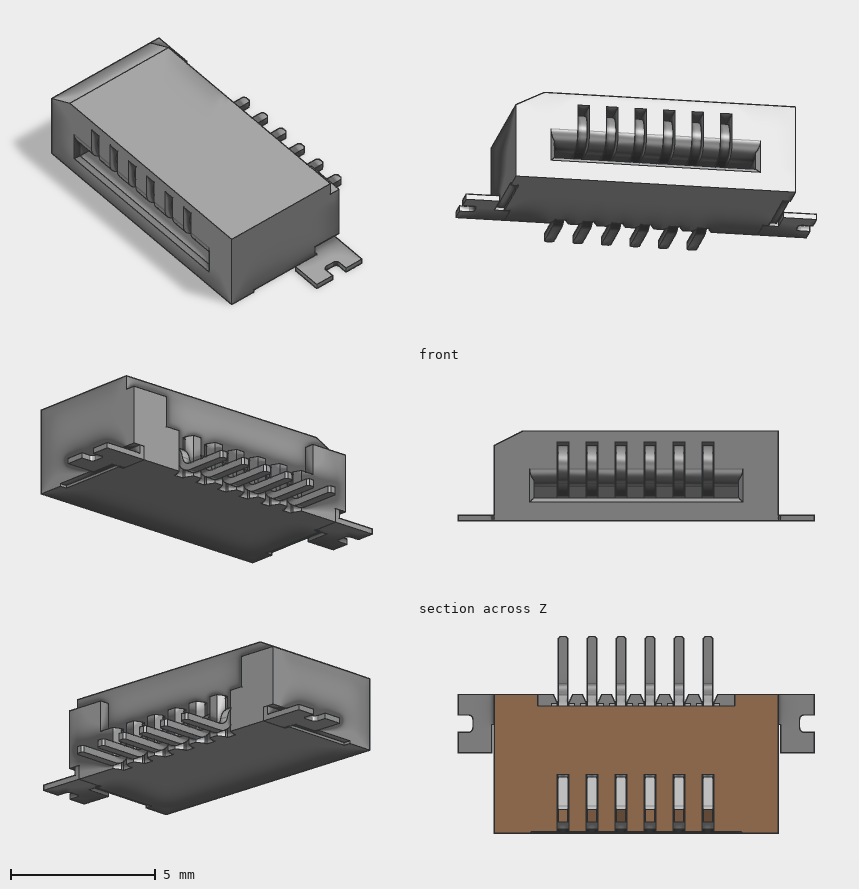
import cadquery as cq
import math


body_width = 9.82
body_height = 3.11
body_depth = 4.8
upper_depth = 4.4
side_ledge_height = 2.61
middle_ledge_height = 1.5
middle_ledge_width = 6.79
corner_cut_width = 1.0

slot_width = 7.06
slot_depth = 2.0
slot_floor = 0.8
slot_height = 0.4
mouth_bevel = 0.15
lip_radius = 0.59

contact_count = 6
contact_row_width = 5.0
contact_row_offset = -0.02
contact_width = 0.33
strip_thickness = 0.25
bend_radius = 0.52
tail_tip = 6.8
tail_bend_start = 5.17
run_height = 0.98
beam_angle = 22.0
nose_exit_angle = 19.0
blend_radius = 3.69
nose_front = 0.25
nose_height = 1.95
curl_end = 1.23
tail_tip_bevel = 0.07

cell_width = 0.4
cell_top = 2.72
cell_top_depth = 1.6
cell_back_angle = 20.0

notch_start = 4.5
notch_narrow_width = 0.39
notch_wide_width = 0.66
lead_in_width = 0.8
lead_in_end = 4.49

overall_width = 12.3
tab_thickness = 0.2
tab_front = 2.78
tab_gap = 0.07
tab_neck_front = 3.75
leg_front = 3.79
leg_height = 0.5
tab_cutout_depth = 0.5
tab_cutout_front = 3.49
tab_cutout_width = 0.59
tab_cutout_radius = 0.15

pocket_front = 3.71
pocket_depth = 0.27
relief_front = 1.0
relief_height = 0.1

half_body = body_width / 2
contact_pitch = contact_row_width / (contact_count - 1)
contact_positions = [
    contact_row_offset - contact_row_width / 2 + i * contact_pitch for i in range(contact_count)
]


def block(x_limits, y_limits, z_limits):
    """Box between the given limits along each axis."""
    size = [high - low for low, high in (x_limits, y_limits, z_limits)]
    corner = (x_limits[0], y_limits[0], z_limits[0])
    return cq.Workplane("XY").box(*size, centered=False).translate(corner)


def side_profile(half_width):
    """Sketch plane for a y-z outline that is extruded from -half_width to +half_width."""
    return cq.Workplane("YZ", origin=(-half_width, 0, 0))


def housing_block():
    """Bevelled block with a stepped rear edge."""
    front_outline = (
        cq.Workplane("XZ")
        .moveTo(-half_body, 0)
        .lineTo(half_body, 0)
        .lineTo(half_body, body_height)
        .lineTo(-half_body + corner_cut_width, body_height)
        .lineTo(-half_body, side_ledge_height)
        .close()
    )
    body = front_outline.extrude(-body_depth)
    ledge = (upper_depth, body_depth)
    half_ledge = middle_ledge_width / 2
    body = body.cut(block((-half_body, half_body), ledge, (side_ledge_height, body_height)))
    return body.cut(block((-half_ledge, half_ledge), ledge, (middle_ledge_height, body_height)))


def card_slot():
    """Slot for the cable, with bevelled floor and ends and a rounded upper lip."""
    half_slot = slot_width / 2
    half_mouth = half_slot + mouth_bevel
    ceiling = slot_floor + slot_height
    lip_slant = lip_radius * math.sqrt(0.5)
    section = (
        side_profile(half_mouth)
        .moveTo(0, slot_floor - mouth_bevel)
        .lineTo(mouth_bevel, slot_floor)
        .lineTo(slot_depth, slot_floor)
        .lineTo(slot_depth, ceiling)
        .lineTo(lip_radius, ceiling)
        .threePointArc(
            (lip_radius - lip_slant, ceiling + lip_radius - lip_slant),
            (0, ceiling + lip_radius),
        )
        .close()
        .extrude(2 * half_mouth)
    )
    plan = (
        cq.Workplane("XY")
        .moveTo(-half_mouth, 0)
        .lineTo(half_mouth, 0)
        .lineTo(half_slot, mouth_bevel)
        .lineTo(half_slot, slot_depth)
        .lineTo(-half_slot, slot_depth)
        .lineTo(-half_slot, mouth_bevel)
        .close()
        .extrude(body_height)
    )
    return section.intersect(plan)


def contact_cell():
    """Narrow chamber that gives one spring contact room to move."""
    lean = (cell_top - run_height) * math.tan(math.radians(cell_back_angle))
    return (
        side_profile(cell_width / 2)
        .moveTo(0, slot_floor)
        .lineTo(cell_top_depth + lean, slot_floor)
        .lineTo(cell_top_depth + lean, run_height)
        .lineTo(cell_top_depth, cell_top)
        .lineTo(0, cell_top)
        .close()
        .extrude(cell_width)
    )


def rear_notch():
    """Flared notch through the rear ledge, with a sloped lead-in at its narrow end."""
    narrow = notch_narrow_width / 2
    wide = notch_wide_width / 2
    flare = (
        cq.Workplane("XY")
        .moveTo(-narrow, upper_depth)
        .lineTo(narrow, upper_depth)
        .lineTo(narrow, notch_start)
        .lineTo(wide, body_depth)
        .lineTo(-wide, body_depth)
        .lineTo(-narrow, notch_start)
        .close()
        .extrude(middle_ledge_height)
    )
    lead_in = (
        side_profile(lead_in_width / 2)
        .moveTo(upper_depth, middle_ledge_height)
        .lineTo(lead_in_end, middle_ledge_height)
        .lineTo(lead_in_end, middle_ledge_height - (lead_in_end - upper_depth))
        .close()
        .extrude(lead_in_width)
    )
    return flare.union(lead_in)


def side_undercuts():
    """Tab pocket and shallow relief below the left side of the housing."""
    leg_outside = -half_body + pocket_depth
    leg_inside = leg_outside + tab_thickness
    pocket = block((-half_body, leg_inside), (pocket_front, body_depth), (0, leg_height))
    relief = block((-half_body, leg_outside), (relief_front, pocket_front), (0, relief_height))
    return pocket.union(relief)


def left_solder_tab():
    """Flat pad with an open cutout and an upright leg held in the housing pocket."""
    pad_outside = -overall_width / 2
    pad_inside = -half_body - tab_gap
    leg_outside = -half_body + pocket_depth
    leg_inside = leg_outside + tab_thickness
    flat = (0, tab_thickness)
    pad = block((pad_outside, pad_inside), (tab_front, body_depth), flat)
    neck = block((pad_inside, leg_outside), (tab_neck_front, body_depth), flat)
    leg = block((leg_outside, leg_inside), (leg_front, body_depth), (0, leg_height))
    cutout = block(
        (pad_outside, pad_outside + tab_cutout_depth),
        (tab_cutout_front, tab_cutout_front + tab_cutout_width),
        flat,
    )
    cutout = cutout.edges("|Z and >X").fillet(tab_cutout_radius)
    return pad.union(neck).union(leg).cut(cutout)


def contact():
    """Bent strip: solder tail, step up, run, spring beam and curled nose."""
    tail_height = strip_thickness / 2
    step_rise = run_height - tail_height
    step_angle = math.acos(1 - step_rise / (2 * bend_radius))
    step_length = 2 * bend_radius * math.sin(step_angle)
    step_end = tail_bend_start - step_length
    step_middle = (tail_bend_start - step_length / 2, (tail_height + run_height) / 2)

    beam_slope = math.radians(beam_angle)
    exit_slope = math.radians(nose_exit_angle)
    nose_centre = nose_front + strip_thickness / 2 + bend_radius
    curl_start = (
        nose_centre - bend_radius * math.sin(exit_slope),
        nose_height - bend_radius * math.cos(exit_slope),
    )
    beam_front = (
        curl_start[0] + blend_radius * (math.sin(beam_slope) - math.sin(exit_slope)),
        curl_start[1] + blend_radius * (math.cos(beam_slope) - math.cos(exit_slope)),
    )
    beam_back = beam_front[0] + (beam_front[1] - run_height) / math.tan(beam_slope)
    curl_top = nose_height + bend_radius

    centreline = (
        cq.Workplane("YZ")
        .moveTo(tail_tip, tail_height)
        .lineTo(tail_bend_start, tail_height)
        .tangentArcPoint(step_middle, relative=False)
        .tangentArcPoint((step_end, run_height), relative=False)
        .lineTo(beam_back, run_height)
        .lineTo(*beam_front)
        .tangentArcPoint(curl_start, relative=False)
        .threePointArc((nose_centre - bend_radius, nose_height), (nose_centre, curl_top))
        .lineTo(curl_end, curl_top)
    )
    strip = (
        cq.Workplane("XZ", origin=(0, tail_tip, tail_height))
        .rect(contact_width, strip_thickness)
        .sweep(centreline, transition="right")
    )
    return strip.faces(">Y").edges("|Z").chamfer(tail_tip_bevel)


contacts = [contact().translate((x, 0, 0)) for x in contact_positions]

left_tab = left_solder_tab()
tabs = [left_tab, left_tab.mirror("YZ")]

housing = housing_block().cut(card_slot())
undercuts = side_undercuts()
housing = housing.cut(undercuts).cut(undercuts.mirror("YZ"))
for x, placed_contact in zip(contact_positions, contacts):
    housing = housing.cut(contact_cell().translate((x, 0, 0)))
    housing = housing.cut(rear_notch().translate((x, 0, 0)))
    housing = housing.cut(placed_contact)

result = cq.Compound.makeCompound(
    [housing.val(), *[tab.val() for tab in tabs], *[pin.val() for pin in contacts]]
)